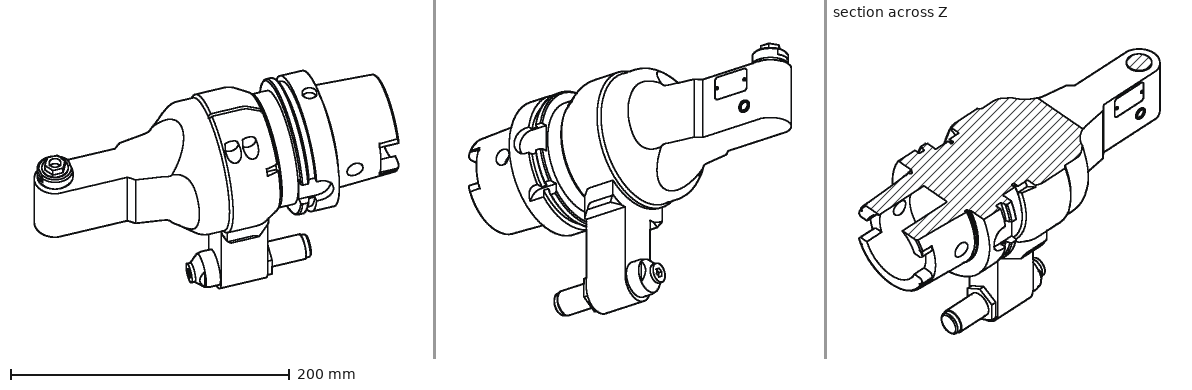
import cadquery as cq
import math


SHANK_REAR_R = 35.8
SHANK_FRONT_R = 38.0
SHANK_CHAMFER = 1.0
UNDERCUT_START = 47.2
UNDERCUT_END = 49.0
UNDERCUT_R = 36.5
SHANK_SHOULDER_R = 38.5
FLANGE_START = 50.3
FLANGE_R = 50.0
FLANGE_END = 78.8
GROOVE_START = 67.2
GROOVE_END = 72.7
GROOVE_R = 46.0
GROOVE_FRONT_WALL_RUN = 1.0
RIM_CHAMFER = 1.0
BORE_R = 26.4
BORE_DEPTH = 44.8
CROSS_HOLE_R = 6.0
CROSS_HOLE_STATION = 34.5
LEFT_SLOT_DEPTH = 9.7
RIGHT_SLOT_DEPTH = 14.8
REAR_SLOT_HALF_WIDTH = 10.0
SLOT_LIP = 6.0
SLOT_LIP_X = 32.7
KEYWAY_START = 54.8
KEYWAY_HALF_WIDTH = 10.0
KEYWAY_FLOOR = 43.5
NOTCH_CORNER = 31.5
TOP_HOLE_STATION = 57.0
TOP_HOLE_R = 5.3
TOP_HOLE_FLOOR = 44.8

NECK_R = 42.0
NECK_END = 91.0
RELIEF_R = 39.0
COLLAR_START = 93.0
COLLAR_CONE_END = 102.5
COLLAR_ROUND_END = 108.8
COLLAR_END = 130.7
COLLAR_DIAMETER = 102.0
COLLAR_R = COLLAR_DIAMETER / 2
COLLAR_CONE_ANGLE = 30.0
SLIT_WIDTH = 2.6
SLIT_FLOOR = 39.5
CLAMP_SCREW_STATIONS = (110.7, 123.8)
CLAMP_SCREW_Z = 41.0
CLAMP_HOLE_R = 5.5
CLAMP_SEAT_X = 24.2
CLAMP_TIP_LENGTH = 2.6
SPANNER_SLOT_ANGLE = 30.0
SPANNER_SLOT_WIDTH = 5.3
BODY_START = 132.8
BODY_R = 49.0
BODY_ROUND_START = 144.7
BODY_ROUND_END = 151.8
BODY_CONE_ANGLE = 36.0
NOSE_CLEARANCE_R = 32.7

TOTAL_LENGTH = 263.5
ARM_HALF_WIDTH = 14.8
ARM_HALF_HEIGHT = 23.0
ARM_END_R = 15.0
ARM_END_STATION = TOTAL_LENGTH - ARM_END_R
FLANK_ARC_X = 40.5
FLANK_ARC_STATION = 155.2
FLANK_ARC_R = 24.8
FLANK_LEAD_ANGLE = 13.5
TAPER_START = 175.5
TAPER_START_X = 22.0
TAPER_END = 194.0
TAPER_END_X = 19.0
SHOULDER_END = 198.7
RAMP_ANGLE = 54.0
RAMP_FOOT = 169.7
RAMP_FILLET = 4.0

BRACKET_START = COLLAR_START
BRACKET_END = 128.0
BRACKET_BOTTOM = -126.2
BRACKET_TOP = -26.4
FOOT_HALF_WIDTH = 29.0
FOOT_REAR_ANGLE = 45.0
FOOT_BEVEL_RUN = 1.5
FOOT_BEVEL_RISE = 4.0
FOOT_BOTTOM = -57.7
FOOT_RIM_R = 60.5
FOOT_FULL_R = 64.3
FOOT_RIM_CHAMFER = 4.0

PIN_Z = -110.0
PIN_START = 58.0
PIN_END = 147.5
PIN_R = 9.2
PIN_CHAMFER = 1.0
PIN_TIP_R = 8.5
PIN_TIP_END = 62.2
NUT_START = 89.0
NUT_R = 14.5
HEAD_R = 13.2
HEAD_BEVEL_START = 135.2
HEAD_CONE_START = 138.5
HEAD_CONE_R = 12.5
HEAD_CONE_END = 145.0
HEAD_TIP_R = 7.0
HEAD_FLAT = 9.2
PIN_SOCKET_R = 3.5
PIN_SOCKET_DEPTH = 2.6

STUD_FOOT_R = 9.2
STUD_FOOT_TOP = 24.2
STUD_R = 13.0
STUD_TOP = 34.0
STUD_CHAMFER = 1.3
STUD_FLAT = 11.3
STUD_FLAT_BOTTOM = 28.7
STUD_WASHER_R = 9.5
STUD_WASHER_TOP = 34.5
STUD_HEX_R = 7.6
STUD_HEX_TOP = 39.3
STUD_SOCKET_R = 4.2
STUD_SOCKET_DEPTH = 5.3

PLATE_START = 209.7
PLATE_END = 238.5
PLATE_BOTTOM = 3.2
PLATE_TOP = 20.8
PLATE_THICKNESS = 0.13
PLATE_CORNER = 1.5
RIVET_INSET = 1.8
RIVET_R = 1.0
RIVET_HEIGHT = 0.5
PLUG_STATION = 235.8
PLUG_Z = -8.7
PLUG_R = 4.5
PLUG_CORE_R = 3.2
PLUG_DEPTH = 0.8

HEX_SIDES = 6

BIG = 158.0


def revolved(profile):
    """Solid of revolution about Y from (station, radius) points, closed along the axis."""
    first, last = profile[0][0], profile[-1][0]
    points = [(0, -first)] + [(r, -s) for s, r in profile] + [(0, -last)]
    return cq.Workplane("XY").polyline(points).close().revolve(360, (0, 0, 0), (0, 1, 0))


def box(x_range, stations, z_range):
    """Box between two x values, two stations and two heights."""
    (x0, x1), (s0, s1), (z0, z1) = x_range, stations, z_range
    size = (x1 - x0, s1 - s0, z1 - z0)
    return cq.Workplane("XY").box(*size).translate(((x0 + x1) / 2, -(s0 + s1) / 2, (z0 + z1) / 2))


def y_cylinder(radius, start, end, x=0.0, z=0.0):
    """Cylinder along Y between two stations."""
    return cq.Workplane("XZ", origin=(x, -start, z)).circle(radius).extrude(end - start)


def x_cylinder(radius, x0, x1, station, z):
    """Cylinder along X."""
    return cq.Workplane("YZ", origin=(x0, -station, z)).circle(radius).extrude(x1 - x0)


def round_drop(length, angle):
    """Drop towards the axis over a round of the given axial length that turns through angle."""
    return length * math.tan(math.radians(angle / 2))


def round_middle(full, length, angle):
    """Mid point of a round tangent to the distance full: its distance from the axis and its axial run."""
    half = math.radians(angle / 2)
    radius = length / math.sin(2 * half)
    return full - radius * (1 - math.cos(half)), radius * math.sin(half)


def make_turned_body():
    """Shank, flange, neck, collar, body and nose blank in one revolve."""
    collar_round = COLLAR_ROUND_END - COLLAR_CONE_END
    collar_edge_r = COLLAR_R - round_drop(collar_round, COLLAR_CONE_ANGLE)
    collar_slope = math.tan(math.radians(COLLAR_CONE_ANGLE))
    collar_rear_r = collar_edge_r - (COLLAR_CONE_END - COLLAR_START) * collar_slope
    collar_mid_r, collar_mid_run = round_middle(COLLAR_R, collar_round, COLLAR_CONE_ANGLE)
    collar_mid = (collar_mid_r, collar_mid_run - COLLAR_ROUND_END)
    body_round = BODY_ROUND_END - BODY_ROUND_START
    body_edge_r = BODY_R - round_drop(body_round, BODY_CONE_ANGLE)
    body_mid_r, body_mid_run = round_middle(BODY_R, body_round, BODY_CONE_ANGLE)
    body_mid = (body_mid_r, -BODY_ROUND_START - body_mid_run)
    body_slope = math.tan(math.radians(BODY_CONE_ANGLE))
    nose_end = BODY_ROUND_END + (body_edge_r - NOSE_CLEARANCE_R) / body_slope
    shank = [
        (0, SHANK_REAR_R - SHANK_CHAMFER),
        (SHANK_CHAMFER, SHANK_REAR_R),
        (UNDERCUT_START, SHANK_FRONT_R),
        (UNDERCUT_START, UNDERCUT_R),
        (UNDERCUT_END, UNDERCUT_R),
        (UNDERCUT_END, SHANK_SHOULDER_R),
        (FLANGE_START, SHANK_SHOULDER_R),
    ]
    flange = [
        (FLANGE_START, FLANGE_R),
        (GROOVE_START, FLANGE_R),
        (GROOVE_START, GROOVE_R),
        (GROOVE_END - GROOVE_FRONT_WALL_RUN, GROOVE_R),
        (GROOVE_END, FLANGE_R - RIM_CHAMFER),
        (GROOVE_END + RIM_CHAMFER, FLANGE_R),
        (FLANGE_END - RIM_CHAMFER, FLANGE_R),
        (FLANGE_END, FLANGE_R - RIM_CHAMFER),
    ]
    neck = [
        (FLANGE_END, NECK_R),
        (NECK_END, NECK_R),
        (NECK_END, RELIEF_R),
        (COLLAR_START, RELIEF_R),
        (COLLAR_START, collar_rear_r),
        (COLLAR_CONE_END, collar_edge_r),
    ]
    outline = cq.Workplane("XY").moveTo(0, 0)
    for station, radius in shank + flange + neck:
        outline = outline.lineTo(radius, -station)
    outline = (
        outline.threePointArc(collar_mid, (COLLAR_R, -COLLAR_ROUND_END))
        .lineTo(COLLAR_R, -COLLAR_END)
        .lineTo(BODY_R, -BODY_START)
        .lineTo(BODY_R, -BODY_ROUND_START)
        .threePointArc(body_mid, (body_edge_r, -BODY_ROUND_END))
        .lineTo(NOSE_CLEARANCE_R, -nose_end)
        .lineTo(NOSE_CLEARANCE_R, -TOTAL_LENGTH)
        .lineTo(0, -TOTAL_LENGTH)
        .close()
    )
    return outline.revolve(360, (0, 0, 0), (0, 1, 0))


def arm_plan():
    """Plan outline: full width over the body, concave flanks, taper, shoulder and round arm end."""
    lead = math.radians(FLANK_LEAD_ANGLE)
    lead_station = FLANK_ARC_STATION - (BIG - FLANK_ARC_X) * math.tan(lead)
    centre = (FLANK_ARC_X + FLANK_ARC_R * math.sin(lead), FLANK_ARC_STATION + FLANK_ARC_R * math.cos(lead))
    end_angle = math.atan2(TAPER_START - centre[1], TAPER_START_X - centre[0])
    start_angle = math.atan2(FLANK_ARC_STATION - centre[1], FLANK_ARC_X - centre[0])
    mid_angle = (start_angle + end_angle) / 2
    flank_mid = (centre[0] + FLANK_ARC_R * math.cos(mid_angle), centre[1] + FLANK_ARC_R * math.sin(mid_angle))
    end_start = ARM_END_STATION + math.sqrt(ARM_END_R**2 - ARM_HALF_WIDTH**2)
    return (
        cq.Workplane("XY", origin=(0, 0, -BIG))
        .moveTo(-BIG, 0)
        .lineTo(BIG, 0)
        .lineTo(BIG, -lead_station)
        .lineTo(FLANK_ARC_X, -FLANK_ARC_STATION)
        .threePointArc((flank_mid[0], -flank_mid[1]), (TAPER_START_X, -TAPER_START))
        .lineTo(TAPER_END_X, -TAPER_END)
        .lineTo(ARM_HALF_WIDTH, -SHOULDER_END)
        .lineTo(ARM_HALF_WIDTH, -end_start)
        .threePointArc((0, -TOTAL_LENGTH), (-ARM_HALF_WIDTH, -end_start))
        .lineTo(-ARM_HALF_WIDTH, -SHOULDER_END)
        .lineTo(-TAPER_END_X, -TAPER_END)
        .lineTo(-TAPER_START_X, -TAPER_START)
        .threePointArc((-flank_mid[0], -flank_mid[1]), (-FLANK_ARC_X, -FLANK_ARC_STATION))
        .lineTo(-BIG, -lead_station)
        .close()
        .extrude(2 * BIG)
    )


def arm_side():
    """Side outline: sloping ramps above and below run down to the flat arm."""
    ramp_top = RAMP_FOOT - (BIG - ARM_HALF_HEIGHT) / math.tan(math.radians(RAMP_ANGLE))
    points = [
        (0, -BIG),
        (-ramp_top, -BIG),
        (-RAMP_FOOT, -ARM_HALF_HEIGHT),
        (-TOTAL_LENGTH, -ARM_HALF_HEIGHT),
        (-TOTAL_LENGTH, ARM_HALF_HEIGHT),
        (-RAMP_FOOT, ARM_HALF_HEIGHT),
        (-ramp_top, BIG),
        (0, BIG),
    ]
    side = cq.Workplane("YZ", origin=(-BIG, 0, 0)).polyline(points).close().extrude(2 * BIG)
    for height in (ARM_HALF_HEIGHT, -ARM_HALF_HEIGHT):
        foot = cq.selectors.NearestToPointSelector((0, -RAMP_FOOT, height))
        side = side.edges(foot).fillet(RAMP_FILLET)
    return side


def make_shank_cuts():
    """Hollow bore, rear drive slots with rounded lips, and the cross hole."""
    bore = y_cylinder(BORE_R, 0, BORE_DEPTH)
    cross_hole = x_cylinder(CROSS_HOLE_R, -BIG, BIG, CROSS_HOLE_STATION, 0)
    cuts = bore.union(cross_hole)
    lip_r = SLOT_LIP / 2
    lip_x = SLOT_LIP_X - lip_r
    lip_z = REAR_SLOT_HALF_WIDTH + lip_r
    mouth_half = REAR_SLOT_HALF_WIDTH + SLOT_LIP
    for side, depth in ((-1, LEFT_SLOT_DEPTH), (1, RIGHT_SLOT_DEPTH)):
        stations = (0, depth)
        slot = box(sorted((0, side * BIG)), stations, (-REAR_SLOT_HALF_WIDTH, REAR_SLOT_HALF_WIDTH))
        mouth = box(sorted((side * lip_x, side * BIG)), stations, (-mouth_half, mouth_half))
        for z_side in (-1, 1):
            mouth = mouth.cut(y_cylinder(lip_r, *stations, side * lip_x, z_side * lip_z))
        cuts = cuts.union(slot).union(mouth)
    return cuts


def make_flange_cuts():
    """Two round-ended drive keyways, the corner notch at the lower left and the blind top hole."""
    cuts = cq.Workplane("XY", origin=(0, -TOP_HOLE_STATION, TOP_HOLE_FLOOR)).circle(TOP_HOLE_R).extrude(BIG)
    round_station = KEYWAY_START + KEYWAY_HALF_WIDTH
    key_z = (-KEYWAY_HALF_WIDTH, KEYWAY_HALF_WIDTH)
    for x0, x1 in ((-BIG, -KEYWAY_FLOOR), (KEYWAY_FLOOR, BIG)):
        cuts = cuts.union(box((x0, x1), (round_station, FLANGE_END), key_z))
        cuts = cuts.union(x_cylinder(KEYWAY_HALF_WIDTH, x0, x1, round_station, 0))
    notch_round_z = -NOTCH_CORNER - KEYWAY_HALF_WIDTH
    notch_x = (-FLANGE_R, -NOTCH_CORNER)
    cuts = cuts.union(box(notch_x, (round_station, FLANGE_END), (-FLANGE_R, -NOTCH_CORNER)))
    return cuts.union(x_cylinder(KEYWAY_HALF_WIDTH, *notch_x, round_station, notch_round_z))


def make_collar_cuts():
    """Clamp slit at the top, two clamp screw holes and the two spanner slots on the rear cone."""
    cuts = box((-SLIT_WIDTH / 2, SLIT_WIDTH / 2), (COLLAR_START, BODY_START), (SLIT_FLOOR, BIG))
    for station in CLAMP_SCREW_STATIONS:
        hole = x_cylinder(CLAMP_HOLE_R, CLAMP_SEAT_X, BIG, station, CLAMP_SCREW_Z)
        tip = cq.Solid.makeCone(
            0,
            CLAMP_HOLE_R,
            CLAMP_TIP_LENGTH,
            cq.Vector(CLAMP_SEAT_X - CLAMP_TIP_LENGTH, -station, CLAMP_SCREW_Z),
            cq.Vector(1, 0, 0),
        )
        cuts = cuts.union(hole).union(cq.Workplane(tip))
    half = SPANNER_SLOT_WIDTH / 2
    spanner_slot = box((RELIEF_R, BIG), (COLLAR_START, COLLAR_CONE_END), (-half, half))
    for angle in (SPANNER_SLOT_ANGLE, 180 - SPANNER_SLOT_ANGLE):
        cuts = cuts.union(spanner_slot.rotate((0, 0, 0), (0, 1, 0), -angle))
    return cuts


def make_bracket():
    """Hanging bracket: wide foot under the collar and a round-ended arm."""
    stations = (BRACKET_START, BRACKET_END)
    round_length = COLLAR_ROUND_END - COLLAR_CONE_END
    corner_x = FOOT_HALF_WIDTH - round_drop(round_length, FOOT_REAR_ANGLE)
    rear_slope = math.tan(math.radians(FOOT_REAR_ANGLE))
    rear_x = corner_x - (COLLAR_CONE_END - BRACKET_START) * rear_slope
    round_mid_x, round_mid_run = round_middle(FOOT_HALF_WIDTH, round_length, FOOT_REAR_ANGLE)
    round_mid_y = round_mid_run - COLLAR_ROUND_END
    foot = (
        cq.Workplane("XY", origin=(0, 0, FOOT_BOTTOM))
        .moveTo(-rear_x, -BRACKET_START)
        .lineTo(rear_x, -BRACKET_START)
        .lineTo(corner_x, -COLLAR_CONE_END)
        .threePointArc((round_mid_x, round_mid_y), (FOOT_HALF_WIDTH, -COLLAR_ROUND_END))
        .lineTo(FOOT_HALF_WIDTH, -BRACKET_END)
        .lineTo(-FOOT_HALF_WIDTH, -BRACKET_END)
        .lineTo(-FOOT_HALF_WIDTH, -COLLAR_ROUND_END)
        .threePointArc((-round_mid_x, round_mid_y), (-corner_x, -COLLAR_CONE_END))
        .close()
        .extrude(BRACKET_TOP - FOOT_BOTTOM)
    )
    section = [
        (-FOOT_HALF_WIDTH, BRACKET_TOP),
        (-FOOT_HALF_WIDTH, FOOT_BOTTOM + FOOT_BEVEL_RISE),
        (-FOOT_HALF_WIDTH + FOOT_BEVEL_RUN, FOOT_BOTTOM),
        (FOOT_HALF_WIDTH - FOOT_BEVEL_RUN, FOOT_BOTTOM),
        (FOOT_HALF_WIDTH, FOOT_BOTTOM + FOOT_BEVEL_RISE),
        (FOOT_HALF_WIDTH, BRACKET_TOP),
    ]
    foot = foot.intersect(cq.Workplane("XZ").polyline(section).close().extrude(BIG))
    rim = [
        (BRACKET_START, FOOT_RIM_R),
        (BRACKET_START + FOOT_RIM_CHAMFER, FOOT_FULL_R),
        (BRACKET_END - FOOT_RIM_CHAMFER, FOOT_FULL_R),
        (BRACKET_END, FOOT_RIM_R),
    ]
    foot = foot.intersect(revolved(rim))
    end_z = BRACKET_BOTTOM + ARM_HALF_WIDTH
    arm = box((-ARM_HALF_WIDTH, ARM_HALF_WIDTH), stations, (end_z, BRACKET_TOP))
    return foot.union(arm).union(y_cylinder(ARM_HALF_WIDTH, *stations, z=end_z))


def make_pin():
    """Pin through the bracket: rear shaft with hex nut, and a conical front head with two flats."""
    shaft = revolved([
        (PIN_START, PIN_TIP_R - PIN_CHAMFER),
        (PIN_START + PIN_CHAMFER, PIN_TIP_R),
        (PIN_TIP_END, PIN_TIP_R),
        (PIN_TIP_END, PIN_R),
        (BRACKET_START, PIN_R),
    ])
    nut_length = BRACKET_START - NUT_START
    nut = cq.Workplane("XZ", origin=(0, -NUT_START, 0)).polygon(HEX_SIDES, 2 * NUT_R).extrude(nut_length)
    nut = nut.rotate((0, 0, 0), (0, 1, 0), 90)
    head = revolved([
        (BRACKET_END, HEAD_R),
        (HEAD_BEVEL_START, HEAD_R),
        (HEAD_CONE_START, HEAD_CONE_R),
        (HEAD_CONE_END, HEAD_TIP_R),
    ])
    for x_range in ((-BIG, -HEAD_FLAT), (HEAD_FLAT, BIG)):
        head = head.cut(box(x_range, (HEAD_CONE_START, BIG), (-BIG, BIG)))
    tip = y_cylinder(HEAD_TIP_R, HEAD_CONE_END, PIN_END)
    socket = cq.Workplane("XZ", origin=(0, -PIN_END, 0)).polygon(HEX_SIDES, 2 * PIN_SOCKET_R)
    socket = socket.extrude(-PIN_SOCKET_DEPTH)
    socket = socket.rotate((0, 0, 0), (0, 1, 0), 90)
    return shaft.union(nut).union(head).union(tip).cut(socket).translate((0, 0, PIN_Z))


def make_stud():
    """Stud standing on the front arm: foot, collar with wrench flats, washer, and hex head with a socket."""
    plane = cq.Workplane("XY")
    foot = plane.workplane(offset=ARM_HALF_HEIGHT).circle(STUD_FOOT_R)
    foot = foot.extrude(STUD_FOOT_TOP - ARM_HALF_HEIGHT)
    collar = plane.workplane(offset=STUD_FOOT_TOP).circle(STUD_R).extrude(STUD_TOP - STUD_FOOT_TOP)
    collar = collar.edges().chamfer(STUD_CHAMFER)
    for stations in ((-BIG, -STUD_FLAT), (STUD_FLAT, BIG)):
        collar = collar.cut(box((-BIG, BIG), stations, (STUD_FLAT_BOTTOM, BIG)))
    washer = plane.workplane(offset=STUD_TOP).circle(STUD_WASHER_R).extrude(STUD_WASHER_TOP - STUD_TOP)
    head = plane.workplane(offset=STUD_WASHER_TOP).polygon(HEX_SIDES, 2 * STUD_HEX_R)
    head = head.extrude(STUD_HEX_TOP - STUD_WASHER_TOP)
    head = head.rotate((0, 0, 0), (0, 0, 1), 90)
    socket = plane.workplane(offset=STUD_HEX_TOP).circle(STUD_SOCKET_R).extrude(-STUD_SOCKET_DEPTH)
    return foot.union(collar).union(washer).union(head).cut(socket).translate((0, -ARM_END_STATION, 0))


def make_plate():
    """Thin name plate with chamfered corners and two rivets on the -X face of the arm."""
    half_length = (PLATE_END - PLATE_START) / 2
    middle = (PLATE_START + PLATE_END) / 2
    plate_x = -ARM_HALF_WIDTH - PLATE_THICKNESS
    plate = box((plate_x, -ARM_HALF_WIDTH), (PLATE_START, PLATE_END), (PLATE_BOTTOM, PLATE_TOP))
    plate = plate.edges("|X").chamfer(PLATE_CORNER)
    rivet_z = (PLATE_BOTTOM + PLATE_TOP) / 2
    for side in (-1, 1):
        station = middle + side * (half_length - RIVET_INSET)
        plate = plate.union(x_cylinder(RIVET_R, plate_x - RIVET_HEIGHT, -ARM_HALF_WIDTH, station, rivet_z))
    return plate


def make_plug_recess():
    """Ring recess around the plug on the -X face of the arm."""
    recess = x_cylinder(PLUG_R, -ARM_HALF_WIDTH, PLUG_DEPTH - ARM_HALF_WIDTH, PLUG_STATION, PLUG_Z)
    core = x_cylinder(PLUG_CORE_R, -ARM_HALF_WIDTH, PLUG_DEPTH - ARM_HALF_WIDTH, PLUG_STATION, PLUG_Z)
    return recess.cut(core)


body = make_turned_body().intersect(arm_plan()).intersect(arm_side())
body = body.cut(make_shank_cuts()).cut(make_flange_cuts()).cut(make_collar_cuts())
body = body.cut(make_plug_recess())
result = body.union(make_bracket()).union(make_pin()).union(make_stud()).union(make_plate())